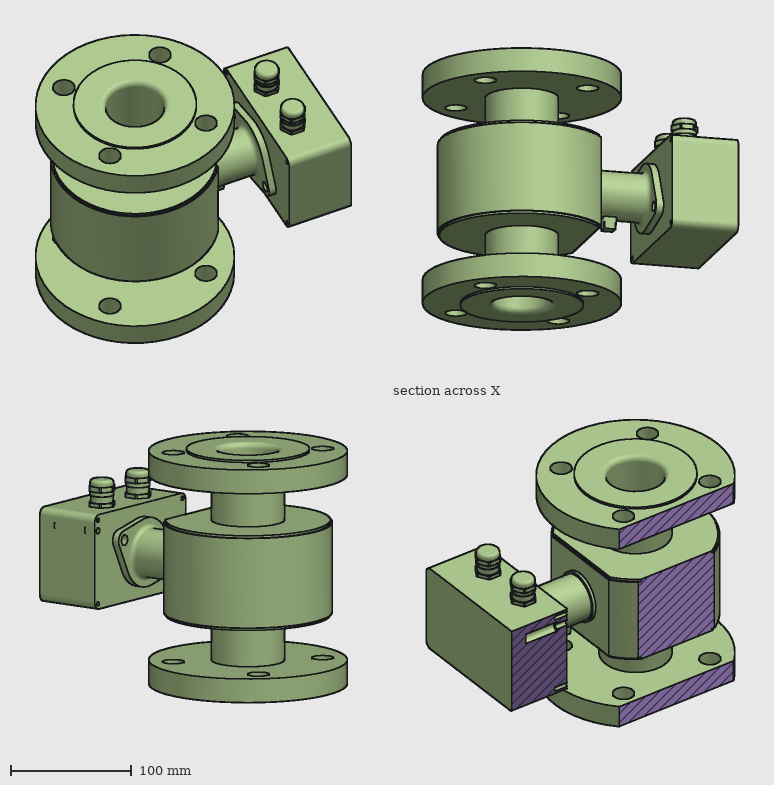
import cadquery as cq
import math


meter_length = 200.5
pipe_dia = 60.9
bore_dia = 48.5
bore_rim_radius = 4.8
flange_dia = 165.0
flange_thickness = 20
raised_face_dia = 102.0
raised_face_height = 1.8
bolt_hole_dia = 18.0
bolt_circle_dia = 125.0
bolt_hole_count = 4
bolt_start_angle = 45

case_dia = 140.0
case_length = 80.0
case_flat_y = 56.8
case_step = 1.5
case_step_height = 2.0

box_width = 125.5
box_height = 80.0
box_back_y = 169.0
box_front_y = 112.0
box_edge_radius = 6.3
screw_hole_dia = 3.3
screw_hole_depth = 12.5
screw_hole_x = 58.0
screw_hole_z = 35.5

side_hole_dia = 4.8
side_hole_end_y = 154.2
side_chamber_dia = 9.0
side_chamber_start_y = 122.5
side_hole_z = 26.5

gland_x = 25.0
gland_y = 133.0
gland_stem_dia = 18.5
gland_cap_dia = 19.9
gland_hex_sides = 6
gland_hex_flats = 20
gland_hex_corners = 22.5
gland_base_hex_top = 3.3
gland_stem_top = 9.0
gland_nut_bottom = 12.8
gland_nut_top = 17.0
gland_height = 22.6
gland_dome_radius = 3.0

neck_dia = 41.0
neck_collar_dia = 44.8
neck_collar_thickness = 3.0
neck_fillet = 3.8
plate_gap = 0.8
plate_thickness = 6.3
plate_disc_dia = 58.3
ear_radius = 8.0
ear_distance = 34.5
ear_angle = 154
ear_hole_dia = 8.5
lug_y = 74.7
lug_bottom_z = -29.7
lug_tip_width = 9.8
lug_taper = 6
lug_chamfer = 0.5

plate_back_y = box_front_y - plate_gap
plate_front_y = plate_back_y - plate_thickness


def disc(diameter, z_bottom, z_top):
    """Cylinder on the Z axis."""
    return cq.Workplane("XY").workplane(offset=z_bottom).circle(diameter / 2).extrude(z_top - z_bottom)


def rod_along_y(diameter, y_start, y_end, x=0, z=0):
    """Cylinder parallel to Y."""
    plane = cq.Plane(origin=(x, y_start, z), xDir=(1, 0, 0), normal=(0, 1, 0))
    return cq.Workplane(plane).circle(diameter / 2).extrude(y_end - y_start)


def flat_sided_disc(diameter, flat_y, height):
    """Cylinder centred on the origin and cut off flat at flat_y on its +Y side."""
    beyond_flat = cq.Workplane("XY").box(diameter, diameter, height).translate((0, flat_y + diameter / 2, 0))
    return disc(diameter, -height / 2, height / 2).cut(beyond_flat)


def make_flange():
    """Upper flange with its raised face and bolt holes."""
    face_top = meter_length / 2
    flange_top = face_top - raised_face_height
    flange = disc(flange_dia, flange_top - flange_thickness, flange_top)
    bolt_holes = (
        cq.Workplane("XY")
        .polarArray(bolt_circle_dia / 2, bolt_start_angle, 360, bolt_hole_count)
        .circle(bolt_hole_dia / 2)
        .extrude(meter_length)
    )
    return flange.cut(bolt_holes).union(disc(raised_face_dia, flange_top, face_top))


def make_bore():
    """Bore of the pipe, flared by a rounded rim at both ends."""
    end_z = meter_length / 2
    radius = bore_dia / 2
    rim_z = end_z - bore_rim_radius
    rim_mid = bore_rim_radius * (1 - math.sqrt(0.5))
    return (
        cq.Workplane("XZ")
        .moveTo(0, -end_z)
        .lineTo(radius + bore_rim_radius, -end_z)
        .threePointArc((radius + rim_mid, -end_z + rim_mid), (radius, -rim_z))
        .lineTo(radius, rim_z)
        .threePointArc((radius + rim_mid, end_z - rim_mid), (radius + bore_rim_radius, end_z))
        .lineTo(0, end_z)
        .close()
        .revolve(360, (0, 0, 0), (0, 1, 0))
    )


def make_meter():
    """Flanged pipe with the coil case."""
    flange = make_flange()
    core_length = case_length - 2 * case_step_height
    case_shell = flat_sided_disc(case_dia, case_flat_y, core_length)
    case_core = flat_sided_disc(case_dia - 2 * case_step, case_flat_y - case_step, case_length)
    pipe = disc(pipe_dia, -meter_length / 2, meter_length / 2)
    solid = pipe.union(flange).union(flange.mirror("XY")).union(case_shell).union(case_core)
    return solid.cut(make_bore())


def gland_hex(z_bottom, z_top):
    """Hexagon with corners toward +Y and -Y, rounded off to the corner diameter."""
    half_side_angle = 180 / gland_hex_sides
    hexagon = (
        cq.Workplane("XY")
        .workplane(offset=z_bottom)
        .polygon(gland_hex_sides, gland_hex_flats / math.cos(math.radians(half_side_angle)))
        .extrude(z_top - z_bottom)
        .rotate((0, 0, 0), (0, 0, 1), half_side_angle)
    )
    return hexagon.intersect(disc(gland_hex_corners, z_bottom, z_top))


def make_gland():
    """Cable gland standing on the XY plane."""
    cap = disc(gland_cap_dia, gland_stem_top, gland_height).faces(">Z").edges().fillet(gland_dome_radius)
    stem = disc(gland_stem_dia, 0, gland_stem_top)
    base_hex = gland_hex(0, gland_base_hex_top)
    nut = gland_hex(gland_nut_bottom, gland_nut_top)
    return stem.union(base_hex).union(cap).union(nut)


def make_terminal_box():
    """Terminal box with its screw holes, side hole and cable glands."""
    depth = box_back_y - box_front_y
    box = (
        cq.Workplane("XY")
        .box(box_width, depth, box_height)
        .edges("|Y")
        .fillet(box_edge_radius)
        .translate((0, box_front_y + depth / 2, 0))
    )
    for x in (-screw_hole_x, screw_hole_x):
        for z in (-screw_hole_z, screw_hole_z):
            box = box.cut(rod_along_y(screw_hole_dia, box_front_y, box_front_y + screw_hole_depth, x, z))
    side_hole_x = -screw_hole_x
    side_hole = rod_along_y(side_hole_dia, box_front_y, side_hole_end_y, side_hole_x, side_hole_z)
    chamber = rod_along_y(side_chamber_dia, side_chamber_start_y, side_hole_end_y, side_hole_x, side_hole_z)
    box = box.cut(side_hole).cut(chamber)
    gland = make_gland()
    for x in (-gland_x, gland_x):
        box = box.union(gland.translate((x, gland_y, box_height / 2)))
    return box


def make_ear(direction):
    """Rounded ear on the mounting plate, tangent to the disc, with its bolt hole."""
    disc_radius = plate_disc_dia / 2
    tangent_angle = math.acos((disc_radius - ear_radius) / ear_distance)
    upper = direction + tangent_angle
    lower = direction - tangent_angle
    ear_x = ear_distance * math.cos(direction)
    ear_z = ear_distance * math.sin(direction)

    def on_ear(angle):
        return (ear_x + ear_radius * math.cos(angle), ear_z + ear_radius * math.sin(angle))

    def on_disc(angle):
        return (disc_radius * math.cos(angle), disc_radius * math.sin(angle))

    plane = cq.Plane(origin=(0, plate_back_y, 0), xDir=(1, 0, 0), normal=(0, -1, 0))
    ear = (
        cq.Workplane(plane)
        .moveTo(0, 0)
        .lineTo(*on_disc(lower))
        .lineTo(*on_ear(lower))
        .threePointArc(on_ear(direction), on_ear(upper))
        .lineTo(*on_disc(upper))
        .close()
        .extrude(plate_thickness)
    )
    return ear.cut(rod_along_y(ear_hole_dia, plate_front_y, plate_back_y, ear_x, ear_z))


def make_lug():
    """Square lug with chamfered corners under the neck, tapered toward its tip and rooted inside the neck."""
    tip = cq.Sketch().rect(lug_tip_width, lug_tip_width).vertices().chamfer(lug_chamfer)
    root_z = -neck_dia / 4
    return (
        cq.Workplane("XY", origin=(0, lug_y, lug_bottom_z))
        .placeSketch(tip)
        .extrude(root_z - lug_bottom_z, taper=-lug_taper)
    )


def make_neck():
    """Neck between the case flat and the terminal box, with its mounting plate and lug."""
    neck_radius = neck_dia / 2
    fillet_start_y = plate_front_y - neck_fillet
    corner = neck_fillet * (1 - math.sqrt(0.5))
    fillet_mid = (neck_radius + corner, plate_front_y - corner)
    shaft = (
        cq.Workplane("XY")
        .moveTo(0, case_flat_y)
        .lineTo(neck_collar_dia / 2, case_flat_y)
        .lineTo(neck_collar_dia / 2, case_flat_y + neck_collar_thickness)
        .lineTo(neck_radius, case_flat_y + neck_collar_thickness)
        .lineTo(neck_radius, fillet_start_y)
        .threePointArc(fillet_mid, (neck_radius + neck_fillet, plate_front_y))
        .lineTo(plate_disc_dia / 2, plate_front_y)
        .lineTo(plate_disc_dia / 2, plate_back_y)
        .lineTo(0, plate_back_y)
        .close()
        .revolve(360, (0, 0, 0), (0, 1, 0))
    )
    neck = shaft.union(make_lug())
    for angle in (ear_angle, ear_angle + 180):
        neck = neck.union(make_ear(math.radians(angle)))
    return neck


meter = make_meter()
neck = make_neck()
terminal_box = make_terminal_box()

result = cq.Compound.makeCompound([meter.val(), neck.val(), terminal_box.val()])